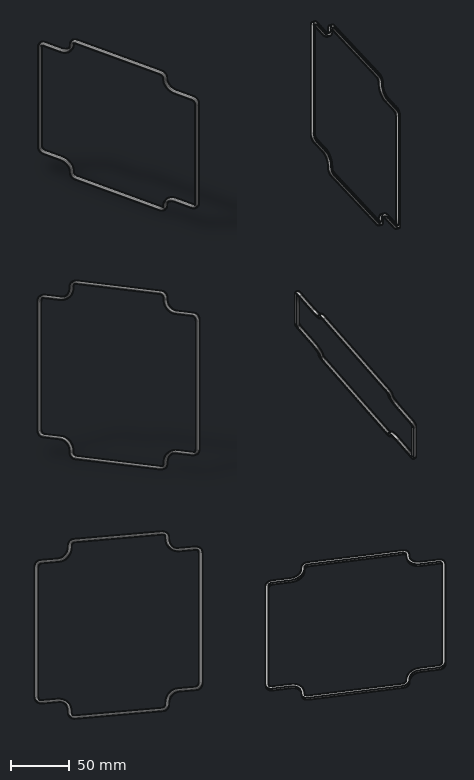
import cadquery as cq
import math

width = 156.0
height = 156.1
thickness = 3.5

bead_width = 2.8
front_fillet = 1.1

corner_radius = 6.0
step_depth = 15.8
notch_center_inset = 22.2
end_edge_inset = 37.0

half_width = width / 2
half_height = height / 2
step_z = half_height - step_depth
notch_center_x = half_width - notch_center_inset
end_corner_x = half_width - end_edge_inset
end_corner_z = half_height - corner_radius

center_run = notch_center_x - end_corner_x
center_drop = step_depth - corner_radius
notch_radius = (center_run**2 + center_drop**2 - corner_radius**2) / (2 * (corner_radius + center_drop))
notch_center_z = step_z + notch_radius
join_angle = math.atan2(notch_center_z - end_corner_z, center_run)


def arc_point(center_x, center_z, radius, angle):
    return (center_x + radius * math.cos(angle), center_z + radius * math.sin(angle))


def corner_path():
    """Upper right corner from the side edge to the end edge, as the ends and middles of its arcs."""
    quarter = math.pi / 2
    side_x = half_width - corner_radius
    side_z = step_z - corner_radius
    start = (half_width, side_z)
    side_arc = (
        arc_point(side_x, side_z, corner_radius, quarter / 2),
        (side_x, step_z),
    )
    notch_start = (notch_center_x, step_z)
    notch_middle_angle = (3 * quarter + join_angle + math.pi) / 2
    join = arc_point(end_corner_x, end_corner_z, corner_radius, join_angle)
    notch_arc = (
        arc_point(notch_center_x, notch_center_z, notch_radius, notch_middle_angle),
        join,
    )
    end_arc = (
        arc_point(end_corner_x, end_corner_z, corner_radius, (join_angle + quarter) / 2),
        (end_corner_x, half_height),
    )
    return [start, *side_arc, notch_start, *notch_arc, *end_arc]


def outer_outline():
    """Closed outline on the back plane, made from the four mirrored corners."""
    outline = cq.Workplane("XZ", origin=(0, thickness / 2, 0))
    outline = outline.moveTo(half_width, corner_radius - step_z)
    for sign_x, sign_z in ((1, 1), (-1, 1), (-1, -1), (1, -1)):
        points = [(sign_x * x, sign_z * z) for x, z in corner_path()]
        start, side_mid, side_end, notch_start, notch_mid, join, end_mid, end = points
        if sign_x == sign_z:
            outline = outline.lineTo(*start)
            outline = outline.threePointArc(side_mid, side_end)
            outline = outline.lineTo(*notch_start)
            outline = outline.threePointArc(notch_mid, join)
            outline = outline.threePointArc(end_mid, end)
        else:
            outline = outline.lineTo(*end)
            outline = outline.threePointArc(end_mid, join)
            outline = outline.threePointArc(notch_mid, notch_start)
            outline = outline.lineTo(*side_end)
            outline = outline.threePointArc(side_mid, start)
    return outline.close()


outer = outer_outline().extrude(thickness)
inner = outer_outline().offset2D(-bead_width).extrude(thickness)
result = outer.cut(inner).faces("<Y").edges().fillet(front_fillet)